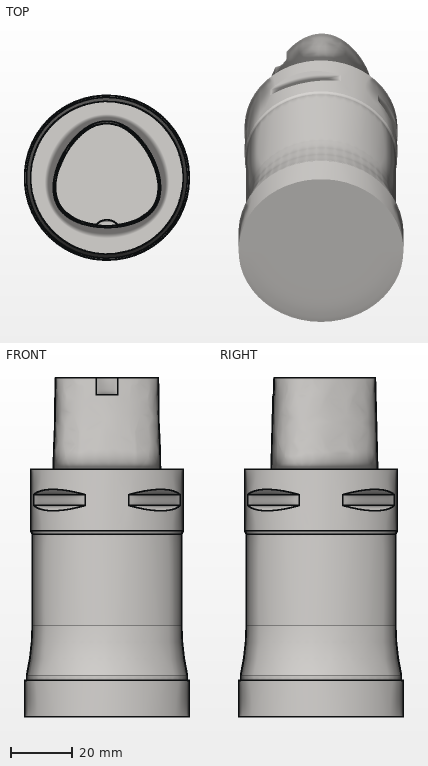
import cadquery as cq
import math

total_height = 111.0
collar_height = 12.0
flare_start_z = 13.7
flare_end_z = 30.0
shank_height = 30.0
flange_top_z = total_height - shank_height
flange_bottom_z = 60.8
flange_chamfer_height = 1.0

collar_diameter = 54.0
flange_radius = 50.0 / 2
barrel_radius = 49.0 / 2
flare_radius = 26.3

shank_base_radius = 17.4
taper_slope = 1 / 40
shank_top_radius = shank_base_radius - shank_height * taper_slope
lobe_offset = 1.1
outline_points = 36

notch_radius = 4.5
notch_depth = 5.5
notch_inner_y = -13.8

groove_count = 4
groove_first_angle = 45
groove_z = 70.9
groove_floor_distance = 22.0
groove_floor_height = 3.5
groove_side_angle = 30
groove_cut_length = 2 * flange_radius


def make_collar():
    """Plain disc at the bottom end."""
    return cq.Workplane("XY").circle(collar_diameter / 2).extrude(collar_height)


def make_round_body():
    """Flare, barrel and flange, revolved about Z."""
    flare_height = flare_end_z - flare_start_z
    flare_growth = flare_radius - barrel_radius
    arc_radius = (flare_height**2 + flare_growth**2) / (2 * flare_growth)
    sweep = math.asin(flare_height / arc_radius)
    arc_middle = (
        barrel_radius + arc_radius * (1 - math.cos(sweep / 2)),
        flare_end_z - arc_radius * math.sin(sweep / 2),
    )
    profile = (
        cq.Workplane("XZ")
        .moveTo(0, collar_height)
        .lineTo(flare_radius, collar_height)
        .lineTo(flare_radius, flare_start_z)
        .threePointArc(arc_middle, (barrel_radius, flare_end_z))
        .lineTo(barrel_radius, flange_bottom_z - flange_chamfer_height)
        .lineTo(flange_radius, flange_bottom_z)
        .lineTo(flange_radius, flange_top_z)
        .lineTo(0, flange_top_z)
        .close()
    )
    return profile.revolve(360, (0, 0, 0), (0, 1, 0))


def lobed_outline(mean_radius, z):
    """Closed hypotrochoid with three lobes, one of them toward +Y."""
    points = []
    for i in range(outline_points):
        angle = 2 * math.pi * i / outline_points
        x = mean_radius * math.sin(angle) - lobe_offset * math.sin(2 * angle)
        y = mean_radius * math.cos(angle) + lobe_offset * math.cos(2 * angle)
        points.append(cq.Vector(x, y, z))
    return cq.Wire.assembleEdges([cq.Edge.makeSpline(points, periodic=True)])


def make_shank():
    """Tapered shank with a round-backed notch on its -Y side."""
    base = lobed_outline(shank_base_radius, flange_top_z)
    top = lobed_outline(shank_top_radius, total_height)
    shank = cq.Workplane(cq.Solid.makeLoft([base, top], True))
    notch = (
        cq.Workplane("XY", origin=(0, notch_inner_y - notch_radius, total_height - notch_depth))
        .circle(notch_radius)
        .extrude(notch_depth)
    )
    return shank.cut(notch)


def make_groove(angle):
    """Straight flat-bottomed groove with sloping sides, cut across the flange at the given angle."""
    depth = flange_radius - groove_floor_distance
    floor_half = groove_floor_height / 2
    mouth_half = floor_half + depth * math.tan(math.radians(groove_side_angle))
    return (
        cq.Workplane("XZ")
        .polyline([
            (groove_floor_distance, groove_z - floor_half),
            (flange_radius, groove_z - mouth_half),
            (flange_radius, groove_z + mouth_half),
            (groove_floor_distance, groove_z + floor_half),
        ])
        .close()
        .extrude(groove_cut_length / 2, both=True)
        .rotate((0, 0, 0), (0, 0, 1), angle)
    )


def make_holder():
    """Round body and shank in one piece, with the gripper grooves cut in."""
    holder = make_round_body().union(make_shank())
    for i in range(groove_count):
        holder = holder.cut(make_groove(groove_first_angle + i * 360 / groove_count))
    return holder


collar = make_collar()
holder = make_holder()

result = cq.Compound.makeCompound([collar.val(), holder.solids().val()])